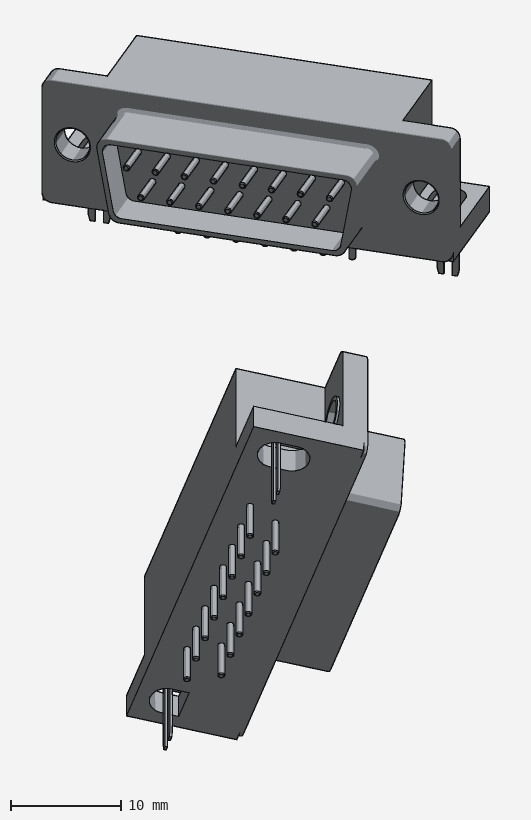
import cadquery as cq
import math


body_length = 39.2
body_height = 12.55
body_back = 10.85
block_half_length = 14.1
flange_back = 2.4
ledge_height = 2.6
corner_radius = 0.95

plate_thickness = 0.4
plate_edge_fillet = 0.1
hole_spacing = 33.32
hole_diameter = 3.2
center_height = body_height / 2

shell_length = 5.72
shell_height = 8.4
shell_mid_width = 23.85
shell_side_angle = 10.0
shell_corner_radius = 1.0
shell_wall = 0.5
cavity_corner_radius = 0.82
shell_root_fillet = 0.55
shell_rim_fillet = 0.08
selection_margin = 0.05
cavity_depth = 3.7
cavity_floor_y = cavity_depth - shell_length

pin_diameter = 0.63
upper_row_count = 8
upper_row_span = 19.4
pin_pitch = upper_row_span / (upper_row_count - 1)
row_spacing = 2.82
pin_length = 3.5
tail_length = 3.92
front_tail_y = 5.35
tip_chamfer = 0.098
embed_depth = 0.4

washer_diameter = 4.0
strip_width = 2.08
sheet_thickness = 0.25
strip_rise = 0.1
leg_y = 7.85
leg_length = 5.37
leg_width = 0.63
leg_tip_length = 0.6
leg_tip_inset = 0.15
slot_width = 3.2
slot_back_y = 7.9
slot_front_y = 6.3


def box(x_min, x_max, y_min, y_max, z_min, z_max):
    """Axis-aligned box between two corners."""
    size = (x_max - x_min, y_max - y_min, z_max - z_min)
    return cq.Workplane("XY").box(*size, centered=False).translate((x_min, y_min, z_min))


def front_plane(y):
    """Sketch plane facing -Y, centred on the mounting holes."""
    return cq.Workplane("XZ", origin=(0, y, center_height))


def d_profile(y, inset, corner, depth):
    """D-shaped prism running from y towards -Y, its outline moved inwards by inset."""
    slope = math.tan(math.radians(shell_side_angle))
    half_height = shell_height / 2 - inset
    half_mid = shell_mid_width / 2 - inset / math.cos(math.radians(shell_side_angle))
    half_top = half_mid + half_height * slope
    half_bottom = half_mid - half_height * slope
    outline = [
        (-half_bottom, -half_height),
        (half_bottom, -half_height),
        (half_top, half_height),
        (-half_top, half_height),
    ]
    prism = front_plane(y).polyline(outline).close().extrude(depth)
    return prism.edges("|Y").fillet(corner)


def make_body():
    """Plastic body: flange, central block and two ledges behind the flange."""
    half = body_length / 2
    flange = box(-half, half, plate_thickness, flange_back, 0, body_height)
    flange = flange.edges("|Y and >Z").fillet(corner_radius)
    block = box(-block_half_length, block_half_length, flange_back, body_back, 0, body_height)
    ledge = box(-half, half, flange_back, body_back, 0, ledge_height)
    return flange.union(block).union(ledge)


def make_plate_and_shell():
    """Rounded metal plate with the D shell standing on it, still solid inside."""
    plate = front_plane(plate_thickness).rect(body_length, body_height).extrude(plate_thickness)
    plate = plate.edges("|Y").fillet(corner_radius)
    plate = plate.faces("<Y").edges().fillet(plate_edge_fillet)
    shell = d_profile(plate_thickness, 0, shell_corner_radius, plate_thickness + shell_length)
    shell = shell.faces("<Y").edges().fillet(shell_rim_fillet)
    metal = plate.union(shell)
    half_width = shell_mid_width / 2 + shell_corner_radius
    half_height = shell_height / 2 + selection_margin
    root = cq.selectors.BoxSelector(
        (-half_width, -selection_margin, center_height - half_height),
        (half_width, selection_margin, center_height + half_height),
    )
    return metal.edges(root).fillet(shell_root_fillet)


def mounting_hole(x):
    """Through hole in plate and flange, with a small lead-in at the front."""
    drill = front_plane(body_back).center(x, 0).circle(hole_diameter / 2).extrude(body_back)
    lead_in = front_plane(0).center(x, 0).circle(hole_diameter / 2 + plate_edge_fillet)
    lead_in = lead_in.workplane(offset=-plate_edge_fillet).circle(hole_diameter / 2).loft()
    return drill.union(lead_in)


def ledge_slot(x, round_front):
    """Slot down through a ledge; its front end is either round or flat."""
    radius = slot_width / 2
    slot = box(x - radius, x + radius, slot_front_y, slot_back_y, 0, ledge_height)
    ends = [slot_back_y, slot_front_y] if round_front else [slot_back_y]
    for y in ends:
        slot = slot.union(cq.Workplane("XY").center(x, y).circle(radius).extrude(ledge_height))
    return slot


def board_lock(x):
    """Bent sheet bracket: washer behind the flange, strip along the ledge, two legs down."""
    half = strip_width / 2
    strip_top = ledge_height + strip_rise
    strip_bottom = strip_top - sheet_thickness
    washer_back = flange_back + sheet_thickness
    leg_back = leg_y + sheet_thickness / 2

    washer = front_plane(washer_back).center(x, 0).circle(washer_diameter / 2)
    washer = washer.extrude(sheet_thickness)
    web = box(x - half, x + half, flange_back, washer_back, strip_bottom, center_height)
    strip = box(x - half, x + half, flange_back, leg_back, strip_bottom, strip_top)
    bracket = washer.union(web).union(strip)

    for side in (-1, 1):
        outer = x + side * half
        inner = outer - side * leg_width
        tip = outer - side * leg_tip_inset
        leg = cq.Workplane("XZ", origin=(0, leg_back, 0)).polyline([
            (inner, strip_top),
            (outer, strip_top),
            (outer, leg_tip_length - leg_length),
            (tip, -leg_length),
            (inner, -leg_length),
        ]).close().extrude(sheet_thickness)
        bracket = bracket.union(leg)
    return bracket


def contact(x, row):
    """Contact pin in the shell and its solder tail; row is 1 for upper, -1 for lower."""
    pin_z = row * row_spacing / 2
    pin = front_plane(cavity_floor_y + embed_depth).center(x, pin_z).circle(pin_diameter / 2)
    pin = pin.extrude(pin_length + embed_depth).faces("<Y").chamfer(tip_chamfer)
    tail_y = front_tail_y + (row_spacing if row > 0 else 0)
    tail = cq.Workplane("XY", origin=(x, tail_y, embed_depth)).circle(pin_diameter / 2)
    tail = tail.extrude(-tail_length - embed_depth).faces("<Z").chamfer(tip_chamfer)
    return pin.union(tail)


result = make_body().union(make_plate_and_shell())
result = result.cut(d_profile(cavity_floor_y, shell_wall, cavity_corner_radius, cavity_depth))

for side in (-1, 1):
    hole_x = side * hole_spacing / 2
    result = result.cut(ledge_slot(hole_x, round_front=side < 0))
    result = result.union(board_lock(hole_x)).cut(mounting_hole(hole_x))

for row, count in ((1, upper_row_count), (-1, upper_row_count - 1)):
    for index in range(count):
        result = result.union(contact((index - (count - 1) / 2) * pin_pitch, row))